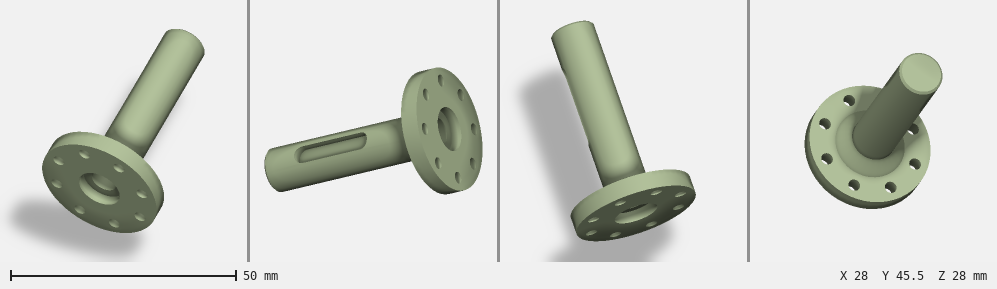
import cadquery as cq

total_length = 45.5
flange_diameter = 28.0
flange_thickness = 4.0
shaft_diameter = 10.0
neck_length = 3.0
end_chamfer = 0.5

recess_diameter = shaft_diameter
recess_depth = 2.5
bore_diameter = 6.0
bore_depth = 8.0

hole_count = 8
hole_diameter = 2.7
hole_circle_diameter = 22.0
first_hole_angle = 19.3

keyway_length = 19.0
keyway_width = 4.0
keyway_depth = 2.5
keyway_end_gap = 8.0


def make_body():
    """Revolve the flange, 45 degree neck and chamfered shaft about Y."""
    flange_radius = flange_diameter / 2
    shaft_radius = shaft_diameter / 2
    neck_end = flange_thickness + neck_length
    profile = [
        (0, 0),
        (flange_radius, 0),
        (flange_radius, flange_thickness),
        (shaft_radius + neck_length, flange_thickness),
        (shaft_radius, neck_end),
        (shaft_radius, total_length - end_chamfer),
        (shaft_radius - end_chamfer, total_length),
        (0, total_length),
    ]
    return cq.Workplane("XY").polyline(profile).close().revolve(360, (0, 0, 0), (0, 1, 0))


def make_cylinder(diameter, depth):
    """Cylinder on the shaft axis, from the flange face towards +Y."""
    return cq.Workplane("XZ").circle(diameter / 2).extrude(-depth)


def make_flange_holes():
    return (
        cq.Workplane("XZ")
        .polarArray(hole_circle_diameter / 2, first_hole_angle, 360, hole_count)
        .circle(hole_diameter / 2)
        .extrude(-flange_thickness)
    )


def make_keyway():
    """Round-ended slot cut inwards from the -X side of the shaft."""
    center_y = total_length - keyway_end_gap - keyway_length / 2
    return (
        cq.Workplane("YZ", origin=(-shaft_diameter / 2, 0, 0))
        .center(center_y, 0)
        .slot2D(keyway_length, keyway_width)
        .extrude(keyway_depth)
    )


result = (
    make_body()
    .cut(make_cylinder(recess_diameter, recess_depth))
    .cut(make_cylinder(bore_diameter, bore_depth))
    .cut(make_flange_holes())
    .cut(make_keyway())
)